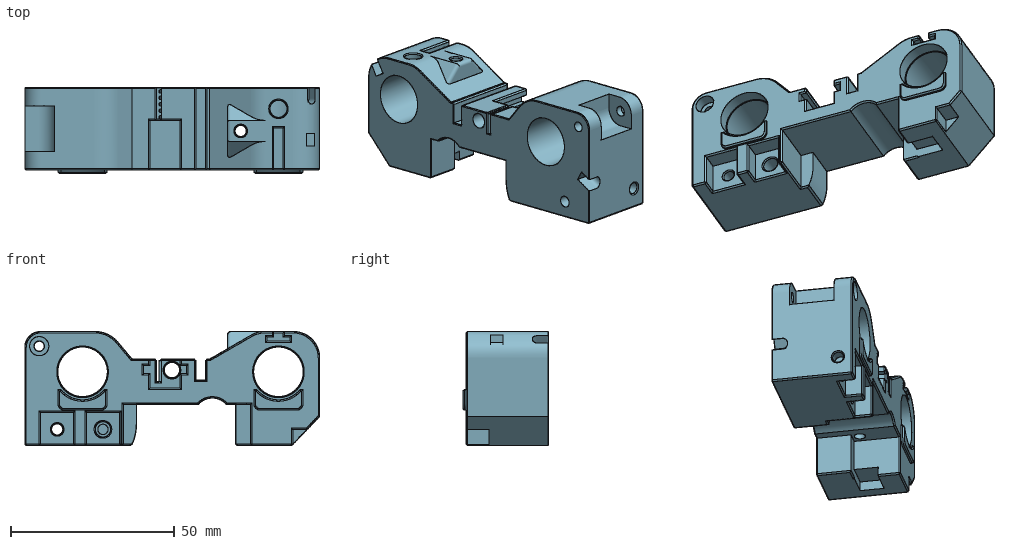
import cadquery as cq
import math

length = 90.4
depth = 25.3
height = 35.0
deck_z = 26.5
bridge_z = 12.7
edge_chamfer = 0.45
back_chamfer = 0.3

corner_radius = 4.9
left_shoulder_radius = 9.1
left_shoulder_x = 21.5
left_slope_angle = 50.0

right_corner_radius = 8.1
right_shoulder_radius = 8.3
right_shoulder_x = 73.6
right_slope_angle = 30.0
foot_bevel_x = 81.8
foot_bevel_z = 8.95

left_leg_x = 30.3
right_leg_x = 69.2
back_leg_y = 14.5
left_back_leg_x = 34.3
right_back_leg_x = 64.6

arch_x = 57.5
arch_half_width = 4.25
arch_rise = 1.9

bore_xs = (17.7, 77.7)
bore_z = 22.6
bore_diameter = 15.2
seat_diameter = 15.8
seat_depth = 4.0

screw_diameter = 3.4
insert_diameter = 4.7
hole_chamfer = 0.4

pocket_depth = 5.4
pocket_top = 10.1

slider_left, slider_right = 38.3, 47.55
slider_back = 15.2
channel_left, channel_right = 52.4, 55.4

neck_left, neck_right = 76.3, 79.2
t_slot_back = 12.9
front_wall = 7.0

pad_width = 15.1
pad_bottom = 10.85
pad_top = 17.2
pad_height = 1.0
pad_corner_radius = 2.0
pad_cut_radius = 8.6

through = 2 * length


def front_plane(y):
    """Plane parallel to the front face; negative extrusion runs towards the back."""
    return cq.Workplane(cq.Plane(origin=(0, y, 0), xDir=(1, 0, 0), normal=(0, -1, 0)))


def box(x0, x1, y0, y1, z0, z1):
    return cq.Workplane("XY").box(x1 - x0, y1 - y0, z1 - z0, centered=False).translate((x0, y0, z0))


def cylinder(start, direction, diameter, run):
    return cq.Workplane(cq.Solid.makeCylinder(diameter / 2, run, cq.Vector(*start), cq.Vector(*direction)))


def countersink(start, direction, diameter, chamfer):
    """Cone that breaks the rim of a hole."""
    return cq.Workplane(cq.Solid.makeCone(
        diameter / 2 + chamfer, diameter / 2, chamfer, cq.Vector(*start), cq.Vector(*direction)))


def top_rim(x0, x1, y0, y1, z):
    """45 degree flare around the upward opening of a pocket."""
    return (
        cq.Workplane("XY", origin=((x0 + x1) / 2, (y0 + y1) / 2, z))
        .rect(x1 - x0 + 2 * edge_chamfer, y1 - y0 + 2 * edge_chamfer)
        .extrude(-edge_chamfer, taper=45)
    )


def shoulder_run(radius, angle):
    """Horizontal and vertical extent of an arc that turns from level to the given slope."""
    turn = math.radians(angle)
    return radius * math.sin(turn), radius * (1 - math.cos(turn))


def make_body():
    left_run, left_drop = shoulder_run(left_shoulder_radius, left_slope_angle)
    left_mid_run, left_mid_drop = shoulder_run(left_shoulder_radius, left_slope_angle / 2)
    left_arc_z = height - left_drop
    left_slope_end_x = (left_shoulder_x + left_run
                        + (left_arc_z - deck_z) / math.tan(math.radians(left_slope_angle)))

    right_run, right_drop = shoulder_run(right_shoulder_radius, right_slope_angle)
    right_mid_run, right_mid_drop = shoulder_run(right_shoulder_radius, right_slope_angle / 2)
    right_arc_z = height - right_drop
    right_slope_start_x = (right_shoulder_x - right_run
                           - (right_arc_z - deck_z) / math.tan(math.radians(right_slope_angle)))

    corner_inset = corner_radius * (1 - math.sqrt(0.5))
    right_inset = right_corner_radius * (1 - math.sqrt(0.5))

    outline = (
        front_plane(0)
        .moveTo(0, 0)
        .lineTo(0, height - corner_radius)
        .threePointArc((corner_inset, height - corner_inset), (corner_radius, height))
        .lineTo(left_shoulder_x, height)
        .threePointArc((left_shoulder_x + left_mid_run, height - left_mid_drop),
                       (left_shoulder_x + left_run, left_arc_z))
        .lineTo(left_slope_end_x, deck_z)
        .lineTo(right_slope_start_x, deck_z)
        .lineTo(right_shoulder_x - right_run, right_arc_z)
        .threePointArc((right_shoulder_x - right_mid_run, height - right_mid_drop),
                       (right_shoulder_x, height))
        .lineTo(length - right_corner_radius, height)
        .threePointArc((length - right_inset, height - right_inset),
                       (length, height - right_corner_radius))
        .lineTo(length, foot_bevel_z)
        .lineTo(foot_bevel_x, 0)
        .lineTo(right_leg_x, 0)
        .lineTo(right_leg_x, bridge_z)
        .lineTo(arch_x + arch_half_width, bridge_z)
        .threePointArc((arch_x, bridge_z + arch_rise), (arch_x - arch_half_width, bridge_z))
        .lineTo(left_leg_x, bridge_z)
        .lineTo(left_leg_x, 0)
        .close()
    )
    return outline.extrude(-depth)


def make_back_legs():
    """Wider rear part of both legs; the left one has a curved lower end."""
    curve_start_z = 7.2
    left_foot_x = 32.7
    left = (
        front_plane(back_leg_y)
        .moveTo(left_leg_x - 0.9, 0)
        .lineTo(left_foot_x, 0)
        .threePointArc((33.9, 3.3), (left_back_leg_x, curve_start_z))
        .lineTo(left_back_leg_x, bridge_z + 0.9)
        .lineTo(left_leg_x - 0.9, bridge_z + 0.9)
        .close()
        .extrude(back_leg_y - depth)
    )
    right = box(right_back_leg_x, right_leg_x + 0.9, back_leg_y, depth, 0, bridge_z + 0.9)
    return left.union(right)


def make_pad(x):
    pad_size = pad_top - pad_bottom
    pad = (
        front_plane(-pad_height)
        .center(x, pad_bottom + pad_size / 2)
        .rect(pad_width, pad_size)
        .extrude(-pad_height - edge_chamfer)
        .edges("|Y and <Z").fillet(pad_corner_radius)
    )
    opening = cylinder((x, -pad_height, bore_z), (0, 1, 0), 2 * pad_cut_radius, through)
    return pad.cut(opening).faces("<Y").chamfer(edge_chamfer)


def make_bore(x):
    bore = cylinder((x, -pad_height, bore_z), (0, 1, 0), bore_diameter, through)
    seat = cylinder((x, -pad_height, bore_z), (0, 1, 0), seat_diameter, pad_height + seat_depth)
    return bore.union(seat)


def make_clip_recess():
    """Round-bottomed recess in the top left corner with a screw hole along Y."""
    centre_x, centre_z = 4.4, 30.5
    radius = 4.7
    y_front, y_back = 5.8, 19.7
    recess = box(-0.9, centre_x + radius, y_front, y_back, centre_z, height + 0.9)
    recess = recess.union(box(-0.9, centre_x, y_front, y_back, centre_z - radius, centre_z))
    recess = recess.union(cylinder((centre_x, y_front, centre_z), (0, 1, 0), 2 * radius, y_back - y_front))

    screw = cylinder((centre_x, 0, centre_z), (0, 1, 0), 3.1, through)
    head = cylinder((centre_x, 0, centre_z), (0, 1, 0), 5.9, 3.6)
    return recess.union(screw).union(head)


def make_lower_pockets():
    """Two pockets in the left leg, open to the front and the bottom."""
    first = box(4.8, 15.0, -0.9, pocket_depth, -0.9, pocket_top)
    second = box(19.0, 29.0, -0.9, pocket_depth, -0.9, pocket_top)
    return first.union(second)


def make_pocket_holes():
    """A clearance hole through the first pocket and a stepped blind hole in the second."""
    hole_z = 5.0
    back = (0, 1, 0)
    through_start = (9.9, pocket_depth, hole_z)
    blind_start = (24.0, pocket_depth, hole_z)
    holes = cylinder(through_start, back, screw_diameter, through)
    holes = holes.union(countersink(through_start, back, screw_diameter, hole_chamfer))
    holes = holes.union(cylinder(blind_start, back, insert_diameter, 5.4))
    holes = holes.union(countersink(blind_start, back, insert_diameter, hole_chamfer))
    return holes.union(cylinder(blind_start, back, 3.2, 9.0))


def make_side_hole():
    start = (0, 4.5, 6.15)
    right = (1, 0, 0)
    hole = cylinder(start, right, screw_diameter, 3.6)
    return hole.union(countersink(start, right, screw_diameter, hole_chamfer))


def make_wire_notch(x, z, tilt):
    """Round-ended slot open to the back face; its axis rises by tilt from +X."""
    centre_y = 21.9
    width = 3.2
    lead = 2.7
    run = 7.2
    turn = math.radians(tilt)
    inward = cq.Vector(math.cos(turn), 0, math.sin(turn))
    start = cq.Vector(x, centre_y, z) - inward * lead
    plane = cq.Plane(origin=start, xDir=(0, 1, 0), normal=inward)
    reach = depth - centre_y + 0.9
    straight = cq.Workplane(plane).center(reach / 2, 0).rect(reach, width).extrude(run)
    return straight.union(cq.Workplane(plane).circle(width / 2).extrude(run))


def make_slider_pocket():
    """Pocket with a groove in both side walls, open to the front and the top."""
    pocket = box(slider_left, slider_right, -0.9, slider_back, 17.6, height)
    return pocket.union(box(36.4, 49.5, -0.9, slider_back, 22.1, 24.5))


def make_channel():
    return box(channel_left, channel_right, -0.9, depth + 0.9, 20.1, height)


def make_deck_rims():
    slider_rim = top_rim(slider_left, slider_right, -0.9, slider_back, deck_z)
    return slider_rim.union(top_rim(channel_left, channel_right, -0.9, depth + 0.9, deck_z))


def make_belt_slit():
    """Narrow slit with belt teeth on its right wall, flared on the other side."""
    left, right, bottom = 40.3, 41.95, 19.6
    tooth_count = 5
    tooth_pitch = 2.0
    tooth_diameter = 1.1
    tooth_x = right - 0.3
    slit = box(left, right, slider_back, depth + 0.9, bottom, height)
    for i in range(tooth_count):
        tooth_y = slider_back + tooth_pitch * (i + 0.5)
        slit = slit.cut(cylinder((tooth_x, tooth_y, bottom), (0, 0, 1), tooth_diameter, height))

    flare_right = right - edge_chamfer
    front_flare = (
        front_plane(slider_back)
        .center((left + flare_right) / 2, (bottom + height) / 2)
        .rect(flare_right - left + 2 * edge_chamfer, height - bottom + 2 * edge_chamfer)
        .extrude(-edge_chamfer, taper=45)
    )
    slit = slit.union(front_flare)
    return slit.union(top_rim(left, flare_right, slider_back, depth + 0.9, deck_z))


def make_deck_hole():
    start = (45.1, slider_back, 23.1)
    back = (0, 1, 0)
    return cylinder(start, back, insert_diameter, through).union(
        countersink(start, back, insert_diameter, hole_chamfer))


def make_wedge():
    """Screw platform standing out of the right slope, with 45 degree flanks."""
    x_left = 62.1
    y_front, y_back = 8.8, 15.3
    drop = 6.3
    wedge = (
        cq.Workplane("YZ", origin=(x_left, 0, 0))
        .polyline([(y_front, height), (y_back, height),
                   (y_back + drop, height - drop), (y_front - drop, height - drop)])
        .close()
        .extrude(right_shoulder_x - x_left)
    )
    return wedge.faces("<X").edges(">Z or (not |Y)").fillet(1.1)


def make_top_holes():
    down = (0, 0, -1)
    platform = (66.2, 12.0, height)
    holes = cylinder(platform, down, screw_diameter, through)
    holes = holes.union(countersink(platform, down, screw_diameter, hole_chamfer))
    bore_hole = (bore_xs[1], 18.8, height)
    holes = holes.union(cylinder(bore_hole, down, 5.2, height - bore_z))
    return holes.union(countersink(bore_hole, down, 5.2, hole_chamfer))


def make_t_slot():
    """T-shaped slot above the right bore, open to the front and the top."""
    slot = box(neck_left, neck_right, -0.9, t_slot_back, 32.5, height + 0.9)
    return slot.union(box(74.2, 81.3, -0.9, t_slot_back, 32.0, 33.3))


def make_corner_window():
    return box(86.3, 88.9, 7.4, 11.3, 27.1, height)


def make_foot_corner():
    return box(82.2, length + 0.9, -0.9, front_wall, -0.9, 4.9)


def make_foot_recess():
    """Recess under the right leg behind its front wall."""
    return box(right_leg_x - 0.9, bore_xs[1], front_wall, back_leg_y, -0.9, 3.0)


result = make_body().union(make_back_legs())
for cut in (make_lower_pockets(), make_slider_pocket(), make_channel(), make_t_slot(), make_foot_corner()):
    result = result.cut(cut)
bottom_edges = result.faces("<Z").edges("(not >X) and (not >Y)")
result = result.faces("<Y").edges().add(bottom_edges).chamfer(edge_chamfer)
result = result.faces(">Y").chamfer(back_chamfer)

result = result.union(make_wedge())
for bore_x in bore_xs:
    result = result.union(make_pad(bore_x))
for bore_x in bore_xs:
    result = result.cut(make_bore(bore_x))

for cut in (
    make_clip_recess(),
    make_pocket_holes(),
    make_side_hole(),
    make_wire_notch(0, 12.5, 30),
    make_wire_notch(88.0, 32.7, 240),
    make_deck_rims(),
    make_belt_slit(),
    make_deck_hole(),
    make_top_holes(),
    top_rim(neck_left, neck_right, -0.9, t_slot_back, height),
    make_corner_window(),
    make_foot_recess(),
):
    result = result.cut(cut)